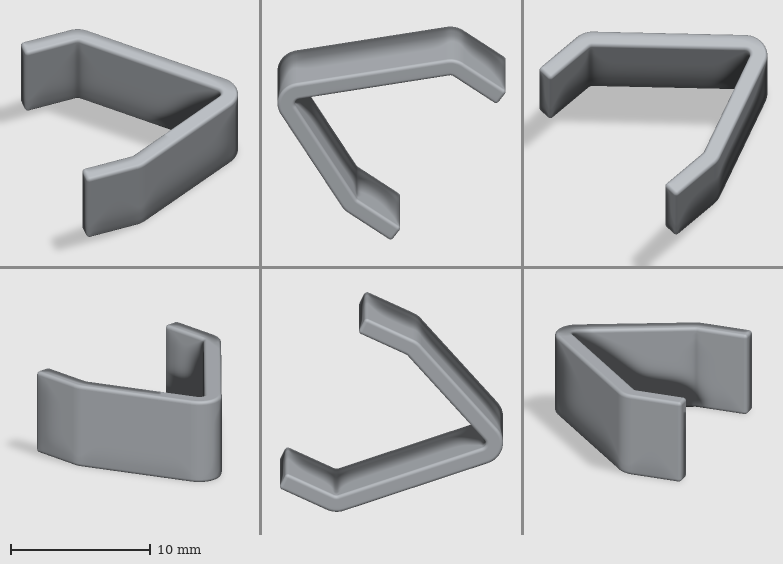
import cadquery as cq
import math

width = 14.35
depth = 13.17
height = 6.21

wall = 1.25
outer_radius = 1.62
inner_radius = outer_radius - wall
leg_length = 3.82
edge_radius = 0.25

left_bend = (outer_radius, leg_length)
right_bend = (width - outer_radius, leg_length)
apex_rise = depth - outer_radius - leg_length
apex_bend = (left_bend[0] + apex_rise, leg_length + apex_rise)


def outward_angle(start, end):
    """Angle of the outward normal (left-hand side) of an arm from start to end."""
    return math.atan2(end[1] - start[1], end[0] - start[0]) + math.pi / 2


def point_on_bend(center, radius, angle):
    return (center[0] + radius * math.cos(angle), center[1] + radius * math.sin(angle))


left_normal = outward_angle(left_bend, apex_bend)
right_normal = outward_angle(apex_bend, right_bend)

bends = [
    (left_bend, math.pi, left_normal),
    (apex_bend, left_normal, right_normal),
    (right_bend, right_normal, 0.0),
]


def add_bend(sketch, center, radius, start, end):
    """Draw a straight run up to a bend, then the bend arc itself."""
    middle = (start + end) / 2
    return sketch.lineTo(*point_on_bend(center, radius, start)).threePointArc(
        point_on_bend(center, radius, middle),
        point_on_bend(center, radius, end),
    )


def strip_profile():
    """Closed outline: outer face left to right, then inner face back again."""
    sketch = cq.Workplane("XY").moveTo(0, 0)
    for center, start, end in bends:
        sketch = add_bend(sketch, center, outer_radius, start, end)
    sketch = sketch.lineTo(width, 0).lineTo(width - wall, 0)
    for center, start, end in reversed(bends):
        sketch = add_bend(sketch, center, inner_radius, end, start)
    return sketch.lineTo(wall, 0).close()


strip = strip_profile().extrude(height)

leg_tip_edges = strip.faces("<Y").edges("|Z")
rim_edges = strip.faces("|Z").edges()
result = strip.newObject(leg_tip_edges.vals() + rim_edges.vals()).fillet(edge_radius)